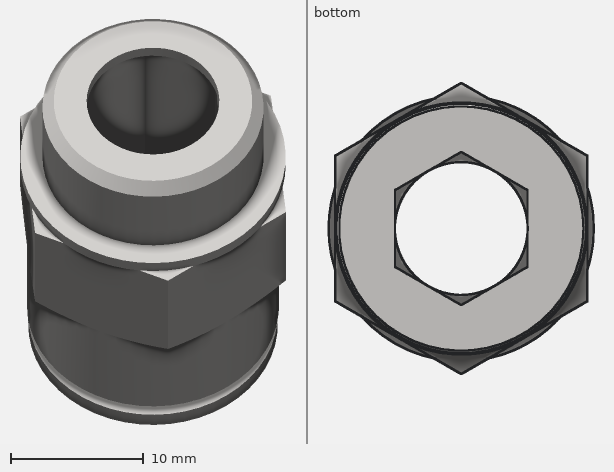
import cadquery as cq
import math

collar_top = 1.48
body_bottom = 2.48
hex_bottom = 11.0
hex_top = 20.5
flange_top = 21.5
total_height = 28.5

collar_diameter = 18.8
neck_diameter = 14.0
hex_flats = 19.0
body_diameter = hex_flats
flange_diameter = 20.0
spigot_diameter = 16.67

small_chamfer = 0.2
spigot_chamfer = 0.85
hex_chamfer_angle = 30.0

bore_diameter = 10.0
bore_lip_height = 1.0
socket_flats = bore_diameter


def cylinder(diameter, bottom, top):
    return cq.Workplane("XY").workplane(offset=bottom).circle(diameter / 2).extrude(top - bottom)


def hexagon(flats, bottom, top):
    """Hexagonal prism with two flats facing +X and -X."""
    corner_diameter = flats / math.cos(math.pi / 6)
    prism = cq.Workplane("XY").polygon(6, corner_diameter).extrude(top - bottom)
    return prism.rotate((0, 0, 0), (0, 0, 1), 30).translate((0, 0, bottom))


def hex_nut():
    """Wrench hexagon whose lower corners are trimmed by a cone."""
    prism = hexagon(hex_flats, hex_bottom, hex_top)
    inner_radius = hex_flats / 2
    outer_radius = hex_flats
    rise = (outer_radius - inner_radius) * math.tan(math.radians(hex_chamfer_angle))
    envelope = (
        cq.Workplane("XZ")
        .moveTo(0, hex_bottom)
        .lineTo(inner_radius, hex_bottom)
        .lineTo(outer_radius, hex_bottom + rise)
        .lineTo(outer_radius, hex_top)
        .lineTo(0, hex_top)
        .close()
        .revolve(360, (0, 0, 0), (0, 1, 0))
    )
    return prism.intersect(envelope)


collar = cylinder(collar_diameter, 0, collar_top).faces("<Z").edges().chamfer(small_chamfer)
neck = cylinder(neck_diameter, collar_top, body_bottom)
foot_diameter = neck_diameter + 2 * small_chamfer
neck_foot = cylinder(foot_diameter, 0, collar_top + small_chamfer).faces(">Z").edges().chamfer(small_chamfer)

body = cylinder(body_diameter, body_bottom, hex_bottom).faces("<Z").edges().chamfer(small_chamfer)
flange = cylinder(flange_diameter, hex_top, flange_top)
spigot = cylinder(spigot_diameter, flange_top, total_height).faces(">Z").edges().chamfer(spigot_chamfer)

lip_bottom = total_height - bore_lip_height
socket = hexagon(socket_flats, 0, lip_bottom)
bore_mouth = cylinder(bore_diameter, lip_bottom, total_height)

result = collar
for section in (neck, neck_foot, body, hex_nut(), flange, spigot):
    result = result.union(section)
result = result.cut(socket).cut(bore_mouth)